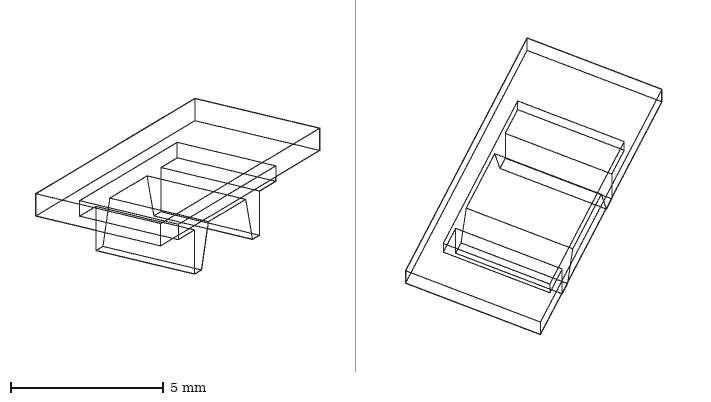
import cadquery as cq

plate_width = 4.85
plate_length = 9.8
plate_thickness = 0.79

pad_width = 3.83
pad_length = 6.0
pad_thickness = 0.55

total_height = 2.91
leg_height = total_height - plate_thickness - pad_thickness
leg_span = 4.0
leg_root = 0.85
leg_tip = 0.43

pad_bottom = leg_height
plate_bottom = pad_bottom + pad_thickness


def slab(width, length, thickness, bottom):
    """Box centred on the Z axis, standing on the given height."""
    return (
        cq.Workplane("XY")
        .workplane(offset=bottom)
        .rect(width, length)
        .extrude(thickness)
    )


def leg(side):
    """Tapered leg on the +Y (side = 1) or -Y (side = -1) half."""
    outer = leg_span / 2
    profile = [
        (side * outer, 0),
        (side * outer, pad_bottom),
        (side * (outer - leg_root), pad_bottom),
        (side * (outer - leg_tip), 0),
    ]
    return cq.Workplane("YZ").polyline(profile).close().extrude(pad_width / 2, both=True)


result = slab(plate_width, plate_length, plate_thickness, plate_bottom)
result = result.union(slab(pad_width, pad_length, pad_thickness, pad_bottom))
for side in (-1, 1):
    result = result.union(leg(side))